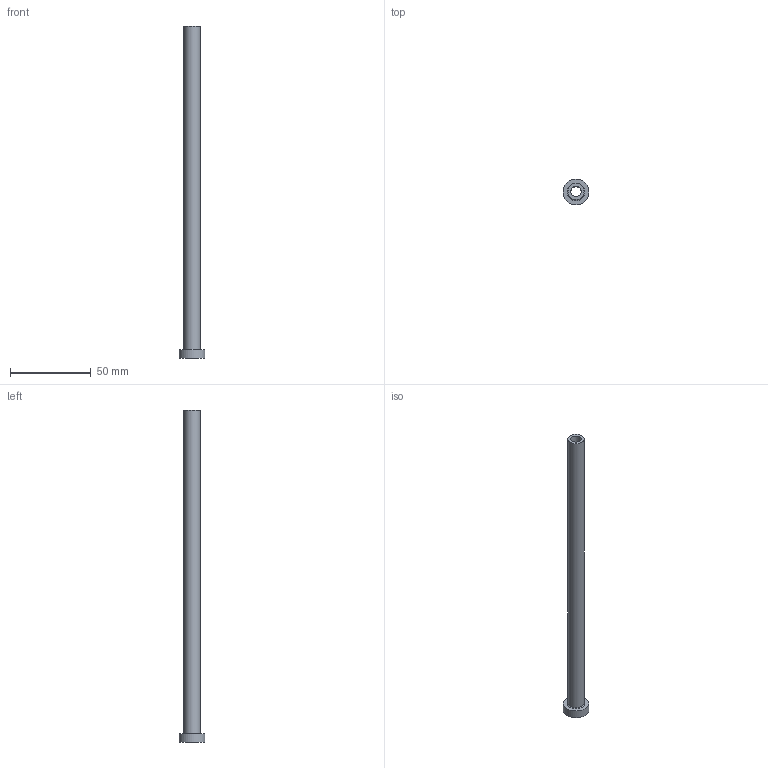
import cadquery as cq

head_diameter = 16.0
head_height = 5.0
tube_diameter = 10.0
tube_length = 200.0
bore_diameter = 6.5
root_fillet = 0.5

total_length = head_height + tube_length
head_radius = head_diameter / 2
tube_radius = tube_diameter / 2
bore_radius = bore_diameter / 2


def wall_profile():
    """Half section of the sleeve wall: X is the radius, Z the height."""
    return (
        cq.Workplane("XZ")
        .moveTo(bore_radius, 0)
        .lineTo(head_radius, 0)
        .lineTo(head_radius, head_height)
        .lineTo(tube_radius + root_fillet, head_height)
        .radiusArc((tube_radius, head_height + root_fillet), root_fillet)
        .lineTo(tube_radius, total_length)
        .lineTo(bore_radius, total_length)
        .close()
    )


result = wall_profile().revolve(360, (0, 0, 0), (0, 1, 0))